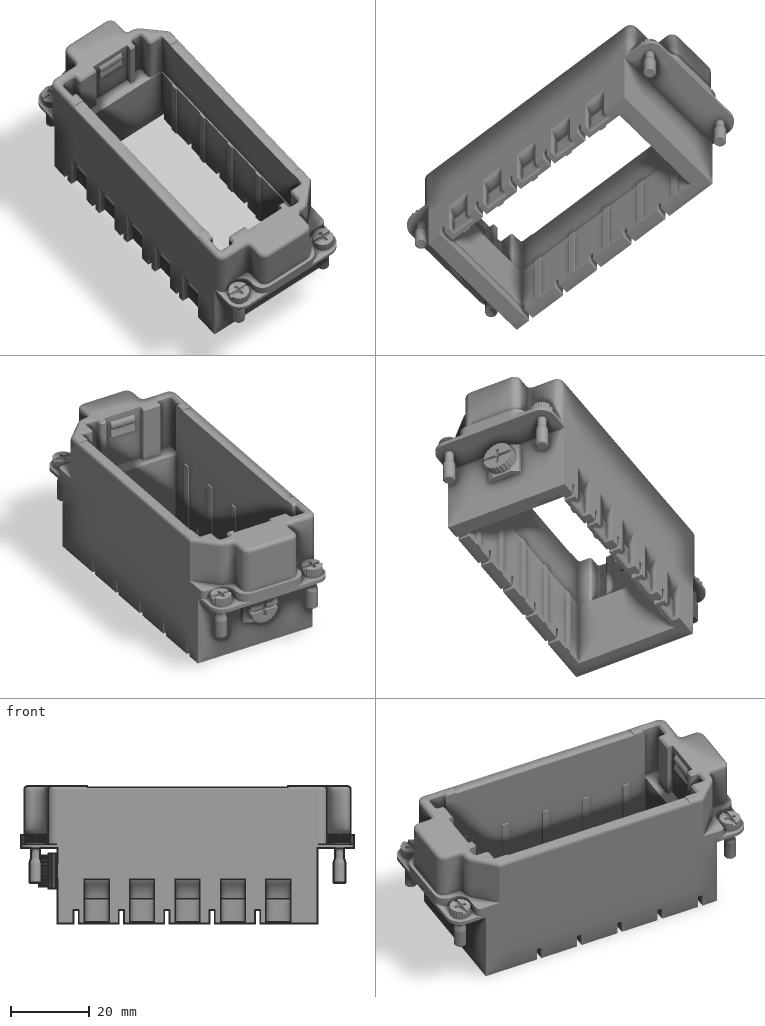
import cadquery as cq
import math

LENGTH = 84.5
WIDTH = 34.0
HEIGHT = 34.9
HALF_WIDTH = WIDTH / 2

BODY_LENGTH = 66.0
HALF_BODY = BODY_LENGTH / 2
FLANGE_BOTTOM = 19.1
FLANGE_TOP = 20.1
FLANGE_RADIUS = 3.8
STEP_TOP = 22.5
STEP_CORNER_START = 6.4
STEP_CORNER_END = 9.5
SCREW_CLEARANCE = 3.0
STEP_FLARE = 1.2

HOUSING_HALF_LENGTH = 41.4
TAB_HALF_WIDTH = 7.95
TAB_CORNER_RADIUS = 2.0
NECK_HALF_LENGTH = 35.3
NECK_CONCAVE_RADIUS = 1.0
NECK_CORNER_RADIUS = 2.1
NECK_DIAGONAL_RADIUS = 3.8
DIAGONAL_HALF_LENGTH = 29.1
RIM_FILLET = 1.0
RIM_STRIP_LENGTH = 50.7
RIM_STRIP_DEPTH = 0.3

CAVITY_HALF_LENGTH = 28.65
CAVITY_HALF_WIDTH = 13.9
UPPER_CAVITY_STEP = 0.3
LEDGE_HEIGHT = 19.6
RECESS_REACH = 32.7
POST_REACH = 30.5
PLUS_POCKET_START = 7.2
PLUS_POCKET_END = 10.4
MINUS_POCKET_START = -14.9
MINUS_POCKET_END = -10.8
RECESS_INNER_REACH = 25.35
RECESS_SIDE_REACH = 28.8
POCKET_END_REACH = 28.4
RECESS_LIP = 0.5
RECESS_LIP_ANGLE = 45
RECESS_RADIUS = 0.7
LATCH_WALL_REACH = 32.0
LATCH_WALL_HALF_WIDTH = 5.5
LATCH_HALF_WIDTH = 3.5
LATCH_PROJECTION = 0.8
LATCH_TOP = 33.2
LATCH_NOSE = 32.1
LATCH_CREASE = 30.9
LATCH_CREASE_PROJECTION = 0.3
LATCH_BOTTOM = 29.0

MODULE_COUNT = 5
MODULE_PITCH = 11.5
RIB_WIDTH = 1.8
RIB_HEIGHT = 0.3
SLOT_WIDTH = 1.3
SLOT_HEIGHT = 3.4
SLOT_OFFSET = -5.2
WINDOW_WIDTH = 6.25
WINDOW_TOP = 11.2
WINDOW_ROOF_DROP = 0.9
WINDOW_ROOF_DEPTH = 0.85
WINDOW_LEDGE = 6.25
WINDOW_DEPTH = 1.7
SCOOP_DEPTH = 2.4
WINDOW_CHAMFER = 0.4

SCREW_X = 38.5
SCREW_Y = 13.5
SCREW_HEAD_DIAMETER = 5.4
SCREW_HEAD_TOP = 22.65
SCREW_COLLAR = 0.5
SCREW_NECK_DIAMETER = 2.4
SCREW_NECK_END = 16.6
SCREW_THREAD_DIAMETER = 3.1
SCREW_THREAD_START = 15.3
SCREW_TIP = 10.2
SCREW_TIP_CHAMFER = 0.25

EARTH_HEIGHT = 13.35
EARTH_HEAD_DIAMETER = 8.0
EARTH_SHANK_DIAMETER = 4.0
EARTH_HEAD_TOP = 4.7
PLATE_SIDE = 8.95
PLATE_GAP = 0.3
PLATE_EDGE = 1.35
PLATE_TOP = 2.3
PLATE_FLAT = 5.4

KNURL_TEETH = 24
KNURL_DEPTH = 0.2
DRIVE_DEPTH = 0.7
DRIVE_SLOT_WIDTH = 0.9
DRIVE_BAR_WIDTH = 0.85
DRIVE_BAR_RATIO = 0.57
DRIVE_HUB_DIAMETER = 1.8
DRIVE_HUB_FLOOR_DIAMETER = 1.1
DRIVE_HUB_DEPTH = 1.0

EPS = 0.4
SAME_POINT = 0.04


def both_ends(solid):
    """Return the solid together with its mirror image at the other X end."""
    return solid.union(solid.mirror("YZ"))


def module_positions():
    return [(i - (MODULE_COUNT - 1) / 2) * MODULE_PITCH for i in range(MODULE_COUNT)]


def box(x0, x1, y0, y1, z0, z1):
    return cq.Workplane("XY").box(x1 - x0, y1 - y0, z1 - z0, centered=False).translate((x0, y0, z0))


def fillet_vertical_at(solid, points, radius):
    """Round the vertical edges standing on the given XY points."""
    def picked(edge):
        centre = edge.Center()
        return any(math.hypot(centre.x - x, centre.y - y) < SAME_POINT for x, y in points)

    return solid.newObject([e for e in solid.edges("|Z").vals() if picked(e)]).fillet(radius)


def mirrored_outline(left_points, z0, z1):
    """Extrude an outline given by its -X half, listed from +Y to -Y."""
    right_points = [(-x, y) for x, y in reversed(left_points)]
    outline = cq.Workplane("XY").workplane(offset=z0).polyline(left_points + right_points)
    return outline.close().extrude(z1 - z0)


def upper_housing():
    diagonal_y = HALF_WIDTH - (NECK_HALF_LENGTH - DIAGONAL_HALF_LENGTH)
    diagonal_start = (-DIAGONAL_HALF_LENGTH, HALF_WIDTH)
    diagonal_end = (-NECK_HALF_LENGTH, diagonal_y)
    neck_plus = (-NECK_HALF_LENGTH, TAB_HALF_WIDTH)
    tab_plus = (-HOUSING_HALF_LENGTH, TAB_HALF_WIDTH)
    tab_minus = (-HOUSING_HALF_LENGTH, -TAB_HALF_WIDTH)
    neck_minus = (-NECK_HALF_LENGTH, -TAB_HALF_WIDTH)
    neck_corner = (-NECK_HALF_LENGTH, -HALF_WIDTH)
    left = [diagonal_start, diagonal_end, neck_plus, tab_plus, tab_minus, neck_minus, neck_corner]
    solid = mirrored_outline(left, FLANGE_BOTTOM, HEIGHT)
    rounds = [
        ([diagonal_end], NECK_DIAGONAL_RADIUS),
        ([neck_plus, neck_minus], NECK_CONCAVE_RADIUS),
        ([tab_plus, tab_minus], TAB_CORNER_RADIUS),
        ([neck_corner], NECK_CORNER_RADIUS),
    ]
    for points, radius in rounds:
        solid = fillet_vertical_at(solid, points + [(-x, y) for x, y in points], radius)
    return solid.faces(">Z").edges().fillet(RIM_FILLET)


def step_edge(outline, side):
    """Continue the -X step outline from its straight end edge to the side at Y = side * HALF_WIDTH."""
    corner = STEP_CORNER_END - STEP_CORNER_START
    hollow_x = -NECK_HALF_LENGTH - SCREW_CLEARANCE
    hollow_y = STEP_CORNER_END + SCREW_CLEARANCE
    diagonal = math.sqrt(0.5)
    return (
        outline
        .threePointArc(
            (-LENGTH / 2 + corner * (1 - diagonal), side * (STEP_CORNER_START + corner * diagonal)),
            (-LENGTH / 2 + corner, side * STEP_CORNER_END),
        )
        .lineTo(hollow_x, side * STEP_CORNER_END)
        .threePointArc(
            (hollow_x + SCREW_CLEARANCE * diagonal, side * (hollow_y - SCREW_CLEARANCE * diagonal)),
            (-NECK_HALF_LENGTH, side * hollow_y),
        )
    )


def end_step():
    """Raised step of the -X flange, hollowed around the two screw heads."""
    height = STEP_TOP - FLANGE_BOTTOM
    base = cq.Workplane("XY").workplane(offset=FLANGE_BOTTOM)
    flare_y = HALF_WIDTH - STEP_FLARE
    flare_mid = STEP_FLARE * (1 - math.sqrt(0.5))
    plus_half = (
        step_edge(base.moveTo(-LENGTH / 2, 0).lineTo(-LENGTH / 2, STEP_CORNER_START), 1)
        .lineTo(-NECK_HALF_LENGTH, flare_y)
        .threePointArc(
            (-NECK_HALF_LENGTH + flare_mid, HALF_WIDTH - flare_mid),
            (-NECK_HALF_LENGTH + STEP_FLARE, HALF_WIDTH),
        )
        .lineTo(-DIAGONAL_HALF_LENGTH, HALF_WIDTH)
        .lineTo(-DIAGONAL_HALF_LENGTH, 0)
        .close()
        .extrude(height)
    )
    minus_half = (
        step_edge(base.moveTo(-LENGTH / 2, 0).lineTo(-LENGTH / 2, -STEP_CORNER_START), -1)
        .lineTo(-HALF_BODY + EPS, -STEP_CORNER_END - SCREW_CLEARANCE)
        .lineTo(-HALF_BODY + EPS, 0)
        .close()
        .extrude(height)
    )
    return plus_half.union(minus_half)


def outer_body():
    lower = box(-HALF_BODY, HALF_BODY, -HALF_WIDTH, HALF_WIDTH, 0, FLANGE_TOP)
    flange = box(-LENGTH / 2, LENGTH / 2, -HALF_WIDTH, HALF_WIDTH, FLANGE_BOTTOM, FLANGE_TOP)
    flange = flange.edges("|Z").fillet(FLANGE_RADIUS)
    return lower.union(flange).union(both_ends(end_step())).union(upper_housing())


def rim_strip():
    half = RIM_STRIP_LENGTH / 2
    return box(-half, half, -HALF_WIDTH - EPS, HALF_WIDTH + EPS, HEIGHT - RIM_STRIP_DEPTH, HEIGHT + EPS)


def cavity():
    x, y = CAVITY_HALF_LENGTH, CAVITY_HALF_WIDTH
    through = box(-x, x, -y, y, -EPS, HEIGHT + EPS)
    upper = box(-x, x, -y, y + UPPER_CAVITY_STEP, LEDGE_HEIGHT, HEIGHT + EPS)
    return through.union(upper)


def end_recess():
    """Cutter for the -X end wall: two corner pockets with a bevelled lip and a flat latch wall."""
    corner_y = CAVITY_HALF_WIDTH + UPPER_CAVITY_STEP - RECESS_LIP
    points = [
        (-RECESS_INNER_REACH, corner_y),
        (-RECESS_SIDE_REACH, corner_y),
        (-RECESS_SIDE_REACH, PLUS_POCKET_END),
        (-RECESS_REACH, PLUS_POCKET_END),
        (-RECESS_REACH, PLUS_POCKET_START),
        (-POST_REACH, PLUS_POCKET_START),
        (-POST_REACH, MINUS_POCKET_END),
        (-RECESS_REACH, MINUS_POCKET_END),
        (-RECESS_REACH, MINUS_POCKET_START),
        (-POCKET_END_REACH, MINUS_POCKET_START),
        (-POCKET_END_REACH, -CAVITY_HALF_WIDTH + EPS),
        (-RECESS_INNER_REACH, -CAVITY_HALF_WIDTH + EPS),
    ]
    recess = cq.Workplane("XY").workplane(offset=LEDGE_HEIGHT).polyline(points).close()
    recess = recess.extrude(HEIGHT - RECESS_LIP - LEDGE_HEIGHT)
    rounded = [p for p in points if p[0] in (-RECESS_REACH, -POST_REACH)]
    rounded.append((-RECESS_SIDE_REACH, PLUS_POCKET_END))
    recess = fillet_vertical_at(recess, rounded, RECESS_RADIUS)
    lip = recess.faces(">Z").wires().toPending().extrude(RECESS_LIP, taper=-RECESS_LIP_ANGLE, combine=False)
    latch_wall = box(
        -LATCH_WALL_REACH, -CAVITY_HALF_LENGTH,
        -LATCH_WALL_HALF_WIDTH, LATCH_WALL_HALF_WIDTH,
        LEDGE_HEIGHT, HEIGHT + EPS,
    )
    return recess.union(lip).union(latch_wall)


def latch():
    """Catch on the -X latch wall: a round bead above a face that slopes outward."""
    wall_x = -LATCH_WALL_REACH
    nose_x = wall_x + LATCH_PROJECTION
    profile = (
        cq.Workplane("XZ", origin=(0, LATCH_HALF_WIDTH, 0))
        .moveTo(wall_x - EPS, LATCH_BOTTOM)
        .lineTo(nose_x, LATCH_BOTTOM)
        .lineTo(wall_x + LATCH_CREASE_PROJECTION, LATCH_CREASE)
        .threePointArc(
            (nose_x, LATCH_NOSE),
            (wall_x, LATCH_TOP),
        )
        .lineTo(wall_x - EPS, LATCH_TOP)
        .close()
    )
    return profile.extrude(2 * LATCH_HALF_WIDTH)


def window(x):
    """Cutter for the scooped window in the -Y wall at the given X."""
    roof_z = WINDOW_TOP - WINDOW_ROOF_DROP
    scoop_mid = (
        WINDOW_ROOF_DEPTH + (SCOOP_DEPTH - WINDOW_ROOF_DEPTH) * math.sqrt(0.5),
        WINDOW_LEDGE + (roof_z - WINDOW_LEDGE) * math.sqrt(0.5),
    )
    profile = (
        cq.Workplane("YZ", origin=(x - WINDOW_WIDTH / 2, -HALF_WIDTH, 0))
        .moveTo(-EPS, WINDOW_TOP)
        .lineTo(0, WINDOW_TOP)
        .lineTo(WINDOW_ROOF_DEPTH, roof_z)
        .threePointArc(scoop_mid, (SCOOP_DEPTH, WINDOW_LEDGE))
        .lineTo(WINDOW_DEPTH, WINDOW_LEDGE)
        .lineTo(WINDOW_DEPTH, WINDOW_CHAMFER)
        .lineTo(WINDOW_DEPTH + WINDOW_CHAMFER, 0)
        .lineTo(-EPS, 0)
        .close()
    )
    return profile.extrude(WINDOW_WIDTH)


def wall_slot(x):
    return box(
        x + SLOT_OFFSET - SLOT_WIDTH / 2, x + SLOT_OFFSET + SLOT_WIDTH / 2,
        -HALF_WIDTH - EPS, HALF_WIDTH + EPS,
        -EPS, SLOT_HEIGHT,
    )


def rib(x):
    """Guide rib at the given X on the -Y inner wall."""
    return box(
        x - RIB_WIDTH / 2, x + RIB_WIDTH / 2,
        -CAVITY_HALF_WIDTH - EPS, -CAVITY_HALF_WIDTH + RIB_HEIGHT,
        0, LEDGE_HEIGHT,
    )


def knurled_disc(diameter, z0, z1):
    def rim_point(index):
        radius = diameter / 2 - KNURL_DEPTH * (index % 2)
        angle = math.pi * index / KNURL_TEETH
        return radius * math.cos(angle), radius * math.sin(angle)

    outline = [rim_point(i) for i in range(2 * KNURL_TEETH)]
    return cq.Workplane("XY").workplane(offset=z0).polyline(outline).close().extrude(z1 - z0)


def drive_recess(diameter, top):
    """Cutter for a full slot along Y, a short bar along X and a tapered round hub."""
    base = cq.Workplane("XY").workplane(offset=top - DRIVE_DEPTH)
    depth = DRIVE_DEPTH + EPS
    slot = base.rect(DRIVE_SLOT_WIDTH, diameter + EPS).extrude(depth)
    bar = base.rect(DRIVE_BAR_RATIO * diameter, DRIVE_BAR_WIDTH).extrude(depth)
    hub = (
        cq.Workplane("XY", origin=(0, 0, top - DRIVE_HUB_DEPTH))
        .circle(DRIVE_HUB_FLOOR_DIAMETER / 2)
        .workplane(offset=DRIVE_HUB_DEPTH)
        .circle(DRIVE_HUB_DIAMETER / 2)
        .loft()
    )
    return slot.union(bar).union(hub)


def fixing_screw():
    neck_r = SCREW_NECK_DIAMETER / 2
    thread_r = SCREW_THREAD_DIAMETER / 2
    shank = (
        cq.Workplane("XZ")
        .moveTo(0, FLANGE_TOP)
        .lineTo(neck_r, FLANGE_TOP)
        .lineTo(neck_r, SCREW_NECK_END)
        .lineTo(thread_r, SCREW_THREAD_START)
        .lineTo(thread_r, SCREW_TIP + SCREW_TIP_CHAMFER)
        .lineTo(thread_r - SCREW_TIP_CHAMFER, SCREW_TIP)
        .lineTo(0, SCREW_TIP)
        .close()
        .revolve(360, (0, 0, 0), (0, 1, 0))
    )
    knurl_start = FLANGE_TOP + SCREW_COLLAR
    collar_height = SCREW_COLLAR + EPS
    collar = cq.Workplane("XY").workplane(offset=FLANGE_TOP - EPS)
    collar = collar.circle(SCREW_HEAD_DIAMETER / 2 - KNURL_DEPTH).extrude(collar_height)
    head = knurled_disc(SCREW_HEAD_DIAMETER, knurl_start, SCREW_HEAD_TOP)
    head = head.cut(drive_recess(SCREW_HEAD_DIAMETER, SCREW_HEAD_TOP))
    return shank.union(collar).union(head)


def earth_terminal():
    """Bent square plate and knurled screw, built along +Z and then turned to face -X."""
    plate = (
        cq.Workplane("YZ", origin=(-PLATE_SIDE / 2, 0, 0))
        .moveTo(-PLATE_SIDE / 2, PLATE_GAP)
        .lineTo(PLATE_SIDE / 2, PLATE_GAP)
        .lineTo(PLATE_SIDE / 2, PLATE_EDGE)
        .lineTo(PLATE_FLAT / 2, PLATE_TOP)
        .lineTo(-PLATE_FLAT / 2, PLATE_TOP)
        .lineTo(-PLATE_SIDE / 2, PLATE_EDGE)
        .close()
        .extrude(PLATE_SIDE)
    )
    shank = cq.Workplane("XY").workplane(offset=-EPS)
    shank = shank.circle(EARTH_SHANK_DIAMETER / 2).extrude(PLATE_TOP + EPS)
    head = knurled_disc(EARTH_HEAD_DIAMETER, PLATE_TOP, EARTH_HEAD_TOP)
    head = head.cut(drive_recess(EARTH_HEAD_DIAMETER, EARTH_HEAD_TOP))
    terminal = plate.union(shank).union(head)
    terminal = terminal.rotate((0, 0, 0), (0, 1, 0), -90)
    return terminal.translate((-HALF_BODY, 0, EARTH_HEIGHT))


result = outer_body()
result = result.cut(rim_strip()).cut(cavity()).cut(both_ends(end_recess()))
result = result.union(both_ends(latch()))

for module_x in module_positions():
    inner_rib = rib(module_x)
    result = result.union(inner_rib).union(inner_rib.mirror("XZ"))
    result = result.cut(window(module_x)).cut(wall_slot(module_x))

screw = fixing_screw()
for screw_x in (-SCREW_X, SCREW_X):
    for screw_y in (-SCREW_Y, SCREW_Y):
        result = result.union(screw.translate((screw_x, screw_y, 0)))

result = result.union(earth_terminal())